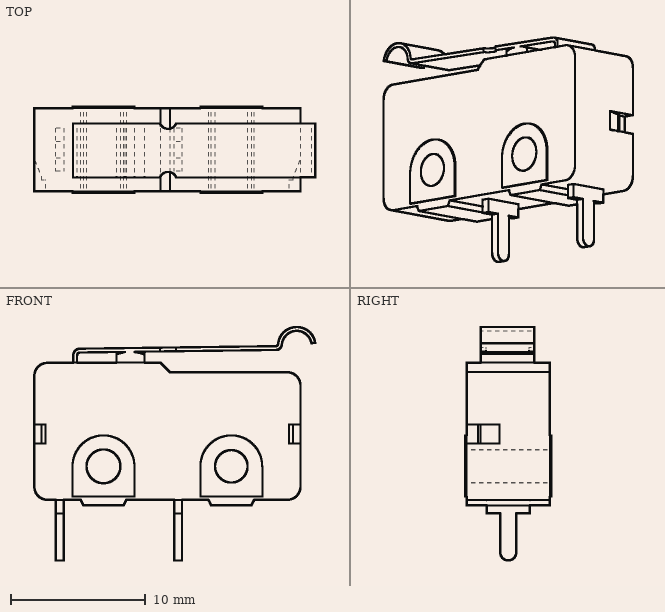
import cadquery as cq
import math


HOUSING_LENGTH = 19.8
HOUSING_THICKNESS = 6.2
CORNER_RADIUS = 1.0
HOLE_SPACING = 9.5
HOUSING_LEFT = (HOLE_SPACING - HOUSING_LENGTH) / 2
HOUSING_RIGHT = HOUSING_LEFT + HOUSING_LENGTH
HOUSING_MIDDLE = HOLE_SPACING / 2
HOUSING_BOTTOM = -2.5
HOUSING_TOP = 7.7
TOP_STEP = 0.7
STEP_START = 4.25
FRONT_FACE = -HOUSING_THICKNESS / 2

HOLE_DIAMETERS = (2.5, 2.4)
PAD_RADIUS = 2.3
PAD_HEIGHT = 0.1
PAD_BOTTOM = -2.25
FOOT_TOP_HALF_WIDTH = 1.7
FOOT_BOTTOM_HALF_WIDTH = 1.5
FOOT_HEIGHT = 0.4

NOTCH_CENTRE_Z = 2.4
NOTCH_HEIGHT = 1.4
RAMP_DEPTH = 0.56
NOTCH_DEPTH = 0.85
RAMP_START_Y = -0.65
RAMP_END_Y = -2.05
LEDGE_Y = -2.25

TERMINAL_POSITIONS = (-3.25, 5.55)
TERMINAL_THICKNESS = 0.6
TERMINAL_WIDTH = 1.2
TERMINAL_END = -7.0
SHOULDER_WIDTH = 3.2
SHOULDER_LENGTH = 1.0

PLUNGER_CENTRE = 2.0
PLUNGER_LENGTH = 2.1
PLUNGER_WIDTH = 4.0
PLUNGER_SIDE_TOP = 8.33
PLUNGER_OVERLAP = 0.02

LEVER_THICKNESS = 0.3
LEVER_WIDTH = 4.0
LEVER_CENTRE_Y = -0.05
LEG_OUTER_X = -2.25
LEG_BEND_RADIUS = 0.5
LEVER_START_Z = 8.75
LEVER_END_Z = 8.94
CURL_RADIUS = 1.4
CURL_CENTRE_X = 14.36
CURL_CENTRE_Z = 8.96
CURL_END_ANGLE = 9.0
CURL_BEND_RADIUS = 0.15
RELIEF_X = 4.8
RELIEF_RADIUS = 0.65
RELIEF_DEPTH = 0.4

EMBED = 0.5


def polar(centre, radius, angle):
    """Point at an angle in degrees on a circle about the centre."""
    turn = math.radians(angle)
    return (centre[0] + radius * math.cos(turn), centre[1] + radius * math.sin(turn))


def extrude_across(profile, width, centre_y=0.0):
    """Extrude an XZ profile by a total width centred on centre_y."""
    return profile.extrude(width / 2, both=True).translate((0, centre_y, 0))


def make_housing():
    lower_top = HOUSING_TOP - TOP_STEP
    outline = (
        cq.Workplane("XZ")
        .moveTo(HOUSING_LEFT, HOUSING_BOTTOM)
        .lineTo(HOUSING_RIGHT, HOUSING_BOTTOM)
        .lineTo(HOUSING_RIGHT, lower_top)
        .lineTo(STEP_START + TOP_STEP, lower_top)
        .lineTo(STEP_START, HOUSING_TOP)
        .lineTo(HOUSING_LEFT, HOUSING_TOP)
        .close()
    )
    housing = extrude_across(outline, HOUSING_THICKNESS)
    return housing.edges("|Y and (<X or >X)").fillet(CORNER_RADIUS)


def make_pad(hole_x):
    """Round-topped mounting pad standing out on both faces."""
    outline = (
        cq.Workplane("XZ")
        .moveTo(hole_x - PAD_RADIUS, PAD_BOTTOM)
        .lineTo(hole_x + PAD_RADIUS, PAD_BOTTOM)
        .lineTo(hole_x + PAD_RADIUS, 0)
        .threePointArc((hole_x, PAD_RADIUS), (hole_x - PAD_RADIUS, 0))
        .close()
    )
    return extrude_across(outline, HOUSING_THICKNESS + 2 * PAD_HEIGHT)


def make_foot(hole_x):
    """Tapered foot below a mounting hole, across the full thickness."""
    foot_bottom = HOUSING_BOTTOM - FOOT_HEIGHT
    outline = (
        cq.Workplane("XZ")
        .moveTo(hole_x - FOOT_TOP_HALF_WIDTH, HOUSING_BOTTOM)
        .lineTo(hole_x - FOOT_BOTTOM_HALF_WIDTH, foot_bottom)
        .lineTo(hole_x + FOOT_BOTTOM_HALF_WIDTH, foot_bottom)
        .lineTo(hole_x + FOOT_TOP_HALF_WIDTH, HOUSING_BOTTOM)
        .close()
    )
    return extrude_across(outline, HOUSING_THICKNESS)


def make_hole(hole_x, diameter):
    circle = cq.Workplane("XZ").center(hole_x, 0).circle(diameter / 2)
    return extrude_across(circle, 2 * HOUSING_THICKNESS)


def make_left_notch():
    """Cut for the left latch: a ramp, a short flat, then a deeper step open to the front."""
    return (
        cq.Workplane("XY", origin=(HOUSING_LEFT, 0, NOTCH_CENTRE_Z))
        .moveTo(0, RAMP_START_Y)
        .lineTo(RAMP_DEPTH, RAMP_END_Y)
        .lineTo(RAMP_DEPTH, LEDGE_Y)
        .lineTo(NOTCH_DEPTH, LEDGE_Y)
        .lineTo(NOTCH_DEPTH, FRONT_FACE)
        .lineTo(0, FRONT_FACE)
        .close()
        .extrude(NOTCH_HEIGHT / 2, both=True)
    )


def make_terminal(centre_x):
    """Flat solder pin with a wide shoulder and a round tip."""
    start = HOUSING_BOTTOM + EMBED
    shoulder_end = HOUSING_BOTTOM - SHOULDER_LENGTH
    half_shoulder = SHOULDER_WIDTH / 2
    half_pin = TERMINAL_WIDTH / 2
    tip_start = TERMINAL_END + half_pin
    return (
        cq.Workplane("YZ", origin=(centre_x, 0, 0))
        .moveTo(-half_shoulder, start)
        .lineTo(-half_shoulder, shoulder_end)
        .lineTo(-half_pin, shoulder_end)
        .lineTo(-half_pin, tip_start)
        .threePointArc((0, TERMINAL_END), (half_pin, tip_start))
        .lineTo(half_pin, shoulder_end)
        .lineTo(half_shoulder, shoulder_end)
        .lineTo(half_shoulder, start)
        .close()
        .extrude(TERMINAL_THICKNESS / 2, both=True)
    )


def lever_top_z(x):
    """Height of the sloping upper face of the lever."""
    start_x = LEG_OUTER_X + LEG_BEND_RADIUS
    end_x = CURL_CENTRE_X - CURL_RADIUS
    return LEVER_START_Z + (LEVER_END_Z - LEVER_START_Z) * (x - start_x) / (end_x - start_x)


def make_plunger():
    """Push button with a domed top that touches the lever."""
    left = PLUNGER_CENTRE - PLUNGER_LENGTH / 2
    right = PLUNGER_CENTRE + PLUNGER_LENGTH / 2
    crown = lever_top_z(PLUNGER_CENTRE) - LEVER_THICKNESS + PLUNGER_OVERLAP
    outline = (
        cq.Workplane("XZ")
        .moveTo(left, HOUSING_TOP - EMBED)
        .lineTo(left, PLUNGER_SIDE_TOP)
        .threePointArc((PLUNGER_CENTRE, crown), (right, PLUNGER_SIDE_TOP))
        .lineTo(right, HOUSING_TOP - EMBED)
        .close()
    )
    return extrude_across(outline, PLUNGER_WIDTH, LEVER_CENTRE_Y)


def make_lever():
    """Bent strip: upright leg, sloping arm and a downward-open curl at the free end."""
    leg_inner_x = LEG_OUTER_X + LEVER_THICKNESS
    leg_bottom = HOUSING_TOP - EMBED
    leg_bend = (LEG_OUTER_X + LEG_BEND_RADIUS, LEVER_START_Z - LEG_BEND_RADIUS)
    leg_bend_inner = LEG_BEND_RADIUS - LEVER_THICKNESS
    curl = (CURL_CENTRE_X, CURL_CENTRE_Z)
    curl_inner = CURL_RADIUS - LEVER_THICKNESS
    curl_bend_outer = CURL_BEND_RADIUS + LEVER_THICKNESS
    bend_centre_z = LEVER_END_Z + CURL_BEND_RADIUS
    touch_angle = math.degrees(
        math.asin((bend_centre_z - CURL_CENTRE_Z) / (CURL_RADIUS + CURL_BEND_RADIUS))
    )
    curl_start_angle = 180 - touch_angle
    curl_middle_angle = (curl_start_angle + CURL_END_ANGLE) / 2
    curl_bend = polar(curl, CURL_RADIUS + CURL_BEND_RADIUS, curl_start_angle)
    bend_middle_angle = (-90 - touch_angle) / 2
    outline = (
        cq.Workplane("XZ")
        .moveTo(LEG_OUTER_X, leg_bottom)
        .lineTo(LEG_OUTER_X, leg_bend[1])
        .threePointArc(polar(leg_bend, LEG_BEND_RADIUS, 135), polar(leg_bend, LEG_BEND_RADIUS, 90))
        .lineTo(*polar(curl_bend, CURL_BEND_RADIUS, -90))
        .threePointArc(
            polar(curl_bend, CURL_BEND_RADIUS, bend_middle_angle),
            polar(curl, CURL_RADIUS, curl_start_angle),
        )
        .threePointArc(
            polar(curl, CURL_RADIUS, curl_middle_angle), polar(curl, CURL_RADIUS, CURL_END_ANGLE)
        )
        .lineTo(*polar(curl, curl_inner, CURL_END_ANGLE))
        .threePointArc(
            polar(curl, curl_inner, curl_middle_angle), polar(curl, curl_inner, curl_start_angle)
        )
        .threePointArc(
            polar(curl_bend, curl_bend_outer, bend_middle_angle),
            polar(curl_bend, curl_bend_outer, -90),
        )
        .lineTo(*polar(leg_bend, leg_bend_inner, 90))
        .threePointArc(polar(leg_bend, leg_bend_inner, 135), (leg_inner_x, leg_bend[1]))
        .lineTo(leg_inner_x, leg_bottom)
        .close()
    )
    lever = extrude_across(outline, LEVER_WIDTH, LEVER_CENTRE_Y)
    relief_offset = LEVER_WIDTH / 2 - RELIEF_DEPTH + RELIEF_RADIUS
    relief_bottom = lever_top_z(RELIEF_X) - 2 * LEVER_THICKNESS
    for side in (-1, 1):
        relief = (
            cq.Workplane("XY", origin=(RELIEF_X, LEVER_CENTRE_Y + side * relief_offset, relief_bottom))
            .circle(RELIEF_RADIUS)
            .extrude(3 * LEVER_THICKNESS)
        )
        lever = lever.cut(relief)
    return lever


result = make_housing()
left_notch = make_left_notch()
right_notch = left_notch.mirror("YZ", (HOUSING_MIDDLE, 0, 0))
result = result.cut(left_notch).cut(right_notch)
for hole_index, hole_diameter in enumerate(HOLE_DIAMETERS):
    hole_centre_x = hole_index * HOLE_SPACING
    result = result.union(make_pad(hole_centre_x)).union(make_foot(hole_centre_x))
    result = result.cut(make_hole(hole_centre_x, hole_diameter))
for terminal_x in TERMINAL_POSITIONS:
    result = result.union(make_terminal(terminal_x))
result = result.union(make_plunger()).union(make_lever())